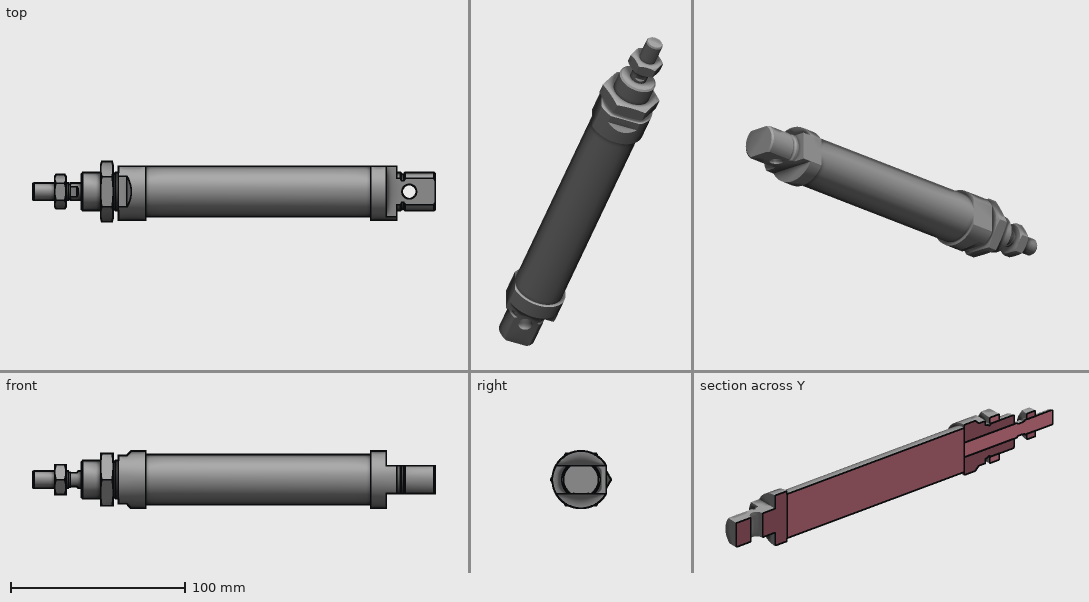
import cadquery as cq
import math


total_length = 231
rod_nut_start = 12.7
rod_relief_start = 20.5
front_neck_start = 28.0
mount_nut_start = 39.0
front_cap_start = 49.2
barrel_start = 65.0
barrel_end = 193.8
tongue_start = 202.8
rear_neck_start = 208.8

rod_diameter = 10.0
rod_relief_diameter = 8.5
rod_relief_length = 1.2
rod_tip_diameter = 8.8
rod_chamfer_length = 1.0
rod_flat_width = 8.0
rod_flat_end = 25.5

rod_nut_flats = 17.0
rod_nut_thickness = 6.5
rod_nut_chamfer_angle = 30
mount_nut_flats = 30
mount_nut_thickness = 7.2
mount_nut_chamfer_angle = 15

cap_diameter = 33.0
barrel_diameter = 29.0
neck_diameter = 22.0
neck_relief_diameter = 20.0
neck_chamfer = 1.0
front_relief_start = 46.2
front_relief_length = 0.5
front_flat_width = 28.0
front_flat_end = 54.0
tongue_thickness = 16.0
rear_relief_start = 211.8
rear_relief_length = 1.0
pivot_hole_diameter = 8.0
pivot_hole_x = 216.0


def cylinder(start, end, diameter):
    """Round bar along X from start to end."""
    return cq.Workplane("YZ", origin=(start, 0, 0)).circle(diameter / 2).extrude(end - start)


def square_groove(start, length, outer_diameter, root_diameter):
    """Ring to cut: a groove with square walls."""
    end = start + length
    return cylinder(start, end, outer_diameter).cut(cylinder(start, end, root_diameter))


def neck_relief(start, length):
    """Ring to cut from a cap's neck: a groove with 45 degree walls, given its length at the root."""
    root_radius = neck_relief_diameter / 2
    rim_radius = neck_diameter / 2
    depth = rim_radius - root_radius
    end = start + length
    return (
        cq.Workplane("XY")
        .moveTo(start - depth, rim_radius)
        .lineTo(start, root_radius)
        .lineTo(end, root_radius)
        .lineTo(end + depth, rim_radius)
        .close()
        .revolve(360, (0, 0, 0), (1, 0, 0))
    )


def wrench_flats(bar, start, end, bar_diameter, flat_width):
    """Cut two flats facing +Z and -Z, each ending in a 45 degree ramp."""
    half_width = flat_width / 2
    clear = bar_diameter / 2
    ramp_end = end + clear - half_width
    upper_cut = (
        cq.Workplane("XZ")
        .moveTo(start, half_width)
        .lineTo(end, half_width)
        .lineTo(ramp_end, clear)
        .lineTo(start, clear)
        .close()
        .extrude(clear, both=True)
    )
    return bar.cut(upper_cut).cut(upper_cut.mirror("XY"))


def side_flat(start, end):
    """Block to cut from a cap, leaving its +Y side level with the barrel."""
    barrel_radius = barrel_diameter / 2
    return cq.Workplane("XY").box(
        end - start, cap_diameter, cap_diameter, centered=(False, False, True)
    ).translate((start, barrel_radius, 0))


def hexagon_nut(start, thickness, across_flats, bore, chamfer_angle):
    """Nut with flats facing +Z and -Z and its corners chamfered on both faces."""
    across_corners = 2 * across_flats / math.sqrt(3)
    corner_radius = across_corners / 2
    face_radius = across_flats / 2
    chamfer_depth = (corner_radius - face_radius) * math.tan(math.radians(chamfer_angle))
    end = start + thickness
    prism = cq.Workplane("YZ", origin=(start, 0, 0)).polygon(6, across_corners).extrude(thickness)
    turned_envelope = (
        cq.Workplane("XY")
        .moveTo(start, 0)
        .lineTo(start, face_radius)
        .lineTo(start + chamfer_depth, corner_radius)
        .lineTo(end - chamfer_depth, corner_radius)
        .lineTo(end, face_radius)
        .lineTo(end, 0)
        .close()
        .revolve(360, (0, 0, 0), (1, 0, 0))
    )
    return prism.intersect(turned_envelope).cut(cylinder(start, end, bore))


def make_rod():
    """Rod with a threaded tip, a relief groove and two wrench flats; it ends at the barrel."""
    chamfer_width = (rod_diameter - rod_tip_diameter) / 2
    rod = cylinder(0, barrel_start, rod_diameter)
    rod = rod.faces("<X").chamfer(rod_chamfer_length, chamfer_width)
    relief_end = rod_relief_start + rod_relief_length
    rod = wrench_flats(rod, relief_end, rod_flat_end, rod_diameter, rod_flat_width)
    return rod.cut(square_groove(rod_relief_start, rod_relief_length, rod_diameter, rod_relief_diameter))


def make_front_cap():
    """Front cap with its threaded neck, bored through for the rod."""
    neck = cylinder(front_neck_start, front_cap_start, neck_diameter).faces("<X").chamfer(neck_chamfer)
    neck = neck.cut(neck_relief(front_relief_start, front_relief_length))
    cap = cylinder(front_cap_start, barrel_start, cap_diameter)
    cap = wrench_flats(cap, front_cap_start, front_flat_end, cap_diameter, front_flat_width)
    cap = cap.cut(side_flat(front_cap_start, barrel_start))
    return cap.union(neck).cut(cylinder(front_neck_start, barrel_start, rod_diameter))


def flatten_tongue(cap):
    """Trim everything behind the tongue's start to the tongue thickness."""
    tongue_length = total_length - tongue_start
    middle_x = tongue_start + tongue_length / 2
    for side in (1, -1):
        middle_z = side * (tongue_thickness + cap_diameter) / 2
        trim = cq.Workplane("XY").box(tongue_length, cap_diameter, cap_diameter)
        cap = cap.cut(trim.translate((middle_x, 0, middle_z)))
    return cap


def make_rear_cap():
    """Rear cap whose neck is flattened into a tongue with a pivot hole along Z."""
    cap = cylinder(barrel_end, rear_neck_start, cap_diameter)
    cap = cap.cut(side_flat(barrel_end, rear_neck_start))
    neck = cylinder(rear_neck_start, total_length, neck_diameter).faces(">X").chamfer(neck_chamfer)
    neck = neck.cut(neck_relief(rear_relief_start, rear_relief_length))
    cap = flatten_tongue(cap.union(neck))
    pivot_hole = (
        cq.Workplane("XY", origin=(pivot_hole_x, 0, 0))
        .circle(pivot_hole_diameter / 2)
        .extrude(tongue_thickness, both=True)
    )
    return cap.cut(pivot_hole)


rod = make_rod()
rod_nut = hexagon_nut(rod_nut_start, rod_nut_thickness, rod_nut_flats, rod_diameter, rod_nut_chamfer_angle)
front_cap = make_front_cap()
mount_nut = hexagon_nut(
    mount_nut_start, mount_nut_thickness, mount_nut_flats, neck_diameter, mount_nut_chamfer_angle
)
barrel = cylinder(barrel_start, barrel_end, barrel_diameter)
rear_cap = make_rear_cap()

bodies = (rod, rod_nut, front_cap, mount_nut, barrel, rear_cap)
result = cq.Compound.makeCompound([body.val() for body in bodies])